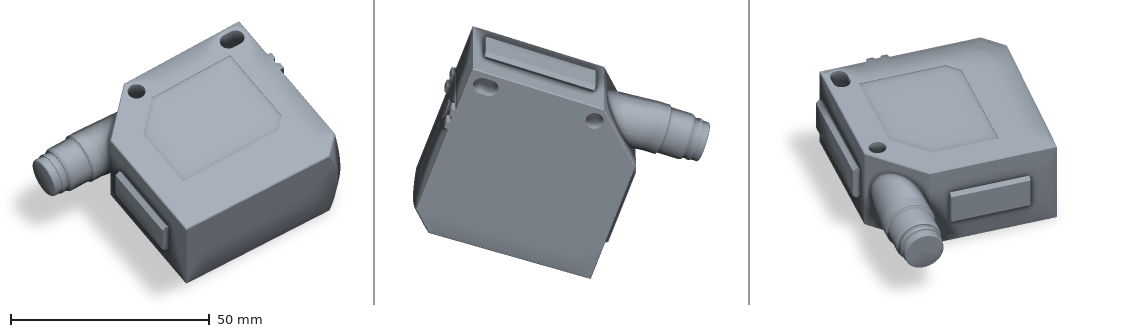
import cadquery as cq
import math

HEIGHT = 23.0
HALF_HEIGHT = HEIGHT / 2
DEPTH = 48.0
FRONT_WIDTH = 46.9
BACK_WIDTH = 48.2
CONNECTOR_CORNER = 12.9
EDGE_CHAMFER = 0.25

CORNER_RIM_SUM = 90.8
CORNER_CREST_SUM = 93.35

HOLE_DIAMETER = 4.5
HOLE_X = 3.9
ROUND_HOLE_Y = 14.1
SLOT_Y = 43.2
SLOT_LENGTH = 6.6

LABEL_LEFT = 7.75
LABEL_RIGHT = 33.95
LABEL_FRONT = 7.85
LABEL_BACK = 40.0
LABEL_FRONT_CORNER = 8.4
LABEL_BACK_CORNER = 3.2
LABEL_DEPTH = 0.2

RAIL_HEIGHT = 1.95
RAIL_RIDGE_HEIGHT = 0.95
RAIL_HALF_WIDTH = 3.95
RAIL_RIDGE_HALF_WIDTH = 4.8
LEFT_RAIL_START = 15.9
LEFT_RAIL_LENGTH = 29.2
FRONT_RAIL_START = 18.1
FRONT_RAIL_LENGTH = 21.1

PANEL_LEFT = 12.7
PANEL_RIGHT = 18.5
PANEL_THICKNESS = 0.2
BUTTON_TOP = 1.13
BUTTON_WIDTH = 2.4
BUTTON_OUTER_TAPER = 0.15
BUTTON_INNER_TAPER = 0.6
BUTTON_Z_LOW = 7.5
BUTTON_Z_HIGH = 11.5
BUTTON_Z_TAPER = 0.2
KNOB_RADIUS = 2.6
KNOB_X = 18.9
KNOB_HEIGHT = 0.7

OVERALL_LENGTH = 64.95
CONNECTOR_X = 6.26
CONNECTOR_END = -(OVERALL_LENGTH - DEPTH - BUTTON_TOP)
CONE_BASE_X = 6.85
CONE_BASE_RADIUS = 8.0
COLLAR_RADIUS = 6.5
COLLAR_START = -1.8
COLLAR_END = -4.85
COLLAR_CHAMFER = 0.35
SLEEVE_RADIUS = 6.0
SLEEVE_END = -11.0
SLEEVE_TIP_RADIUS = 5.65
SLEEVE_TIP_END = -11.65
NECK_RADIUS = 5.3
RING_RADIUS = 5.45
RING_START = -12.8
RING_END = -13.6
TIP_RADIUS = 5.15
TIP_CHAMFER = 0.25


def corner_barrel():
    """Horizontal cylinder along the cut corner; the housing is kept inside it."""
    rise = (CORNER_CREST_SUM - CORNER_RIM_SUM) / math.sqrt(2)
    radius = (HALF_HEIGHT**2 + rise**2) / (2 * rise)
    axis_distance = CORNER_CREST_SUM / math.sqrt(2) - radius
    axis_xy = axis_distance / math.sqrt(2)
    reach = 2 * DEPTH
    plane = cq.Plane(origin=(axis_xy, axis_xy, 0), xDir=(0, 0, 1), normal=(1, -1, 0))
    return cq.Workplane(plane).circle(radius).extrude(reach, both=True)


def housing():
    outline = [
        (CONNECTOR_CORNER, 0),
        (FRONT_WIDTH, 0),
        (BACK_WIDTH, DEPTH),
        (0, DEPTH),
        (0, CONNECTOR_CORNER),
    ]
    block = cq.Workplane("XY").polyline(outline).close().extrude(HALF_HEIGHT, both=True)
    block = block.intersect(corner_barrel())
    return block.faces("|Z").edges().chamfer(EDGE_CHAMFER)


def mounting_holes():
    round_hole = cq.Workplane("XY").center(HOLE_X, ROUND_HOLE_Y).circle(HOLE_DIAMETER / 2)
    slot = cq.Workplane("XY").center(HOLE_X, SLOT_Y).slot2D(SLOT_LENGTH, HOLE_DIAMETER, 90)
    return round_hole.extrude(HEIGHT, both=True).union(slot.extrude(HEIGHT, both=True))


def label_recess():
    outline = [
        (LABEL_LEFT + LABEL_FRONT_CORNER, LABEL_FRONT),
        (LABEL_RIGHT, LABEL_FRONT),
        (LABEL_RIGHT, LABEL_BACK - LABEL_BACK_CORNER),
        (LABEL_RIGHT - LABEL_BACK_CORNER, LABEL_BACK),
        (LABEL_LEFT, LABEL_BACK),
        (LABEL_LEFT, LABEL_FRONT + LABEL_FRONT_CORNER),
    ]
    floor = cq.Workplane("XY").workplane(offset=HALF_HEIGHT - LABEL_DEPTH)
    return floor.polyline(outline).close().extrude(HEIGHT)


def rail(origin, run_direction, outward, length):
    """Rail with a widest ridge part-way up its sides, standing out from a side face."""
    profile = [
        (0, -RAIL_HALF_WIDTH),
        (RAIL_RIDGE_HEIGHT, -RAIL_RIDGE_HALF_WIDTH),
        (RAIL_HEIGHT, -RAIL_HALF_WIDTH),
        (RAIL_HEIGHT, RAIL_HALF_WIDTH),
        (RAIL_RIDGE_HEIGHT, RAIL_RIDGE_HALF_WIDTH),
        (0, RAIL_HALF_WIDTH),
    ]
    plane = cq.Plane(origin=origin, xDir=outward, normal=run_direction)
    return cq.Workplane(plane).polyline(profile).close().extrude(length)


def button(left, left_taper, right_taper):
    """Tapered button on the upper half of the back face."""
    right = left + BUTTON_WIDTH
    top_left = left + left_taper
    top_right = right - right_taper
    mid_z = (BUTTON_Z_LOW + BUTTON_Z_HIGH) / 2
    base_height = BUTTON_Z_HIGH - BUTTON_Z_LOW
    back_face = cq.Plane(origin=(0, DEPTH, mid_z), xDir=(-1, 0, 0), normal=(0, 1, 0))
    return (
        cq.Workplane(back_face)
        .center(-(left + right) / 2, 0)
        .rect(BUTTON_WIDTH, base_height)
        .workplane(offset=BUTTON_TOP)
        .center((left + right - top_left - top_right) / 2, 0)
        .rect(top_right - top_left, base_height - 2 * BUTTON_Z_TAPER)
        .loft(ruled=True)
    )


def control_panel():
    panel_size = (PANEL_RIGHT - PANEL_LEFT, PANEL_THICKNESS + EDGE_CHAMFER, HEIGHT)
    panel = cq.Workplane("XY").box(*panel_size, centered=(False, False, True))
    panel = panel.translate((PANEL_LEFT, DEPTH - EDGE_CHAMFER, 0))
    buttons = button(PANEL_LEFT, BUTTON_OUTER_TAPER, BUTTON_INNER_TAPER).union(
        button(PANEL_RIGHT - BUTTON_WIDTH, BUTTON_INNER_TAPER, BUTTON_OUTER_TAPER)
    )
    back_face = cq.Plane(origin=(KNOB_X, DEPTH, 0), xDir=(-1, 0, 0), normal=(0, 1, 0))
    knob = cq.Workplane(back_face).circle(KNOB_RADIUS).extrude(KNOB_HEIGHT)
    return panel.union(buttons).union(buttons.mirror("XY")).union(knob)


def connector_cone():
    """Ruled transition from a circle on the slanted corner face to the collar."""
    base_center = cq.Vector(CONE_BASE_X, CONNECTOR_CORNER - CONE_BASE_X, 0)
    collar_center = cq.Vector(CONNECTOR_X, COLLAR_START, 0)
    base = cq.Wire.makeCircle(CONE_BASE_RADIUS, base_center, cq.Vector(-1, -1, 0))
    collar = cq.Wire.makeCircle(COLLAR_RADIUS, collar_center, cq.Vector(0, -1, 0))
    return cq.Workplane(cq.Solid.makeLoft([base, collar], True))


def connector_plug():
    """Turned collar, sleeve, neck, ring and tip around the connector axis."""
    profile = [
        (0, COLLAR_START),
        (COLLAR_RADIUS, COLLAR_START),
        (COLLAR_RADIUS, COLLAR_END),
        (SLEEVE_RADIUS + COLLAR_CHAMFER, COLLAR_END),
        (SLEEVE_RADIUS, COLLAR_END - COLLAR_CHAMFER),
        (SLEEVE_RADIUS, SLEEVE_END),
        (SLEEVE_TIP_RADIUS, SLEEVE_TIP_END),
        (NECK_RADIUS, SLEEVE_TIP_END),
        (NECK_RADIUS, RING_START),
        (RING_RADIUS, RING_START),
        (RING_RADIUS, RING_END),
        (TIP_RADIUS, RING_END),
        (TIP_RADIUS, CONNECTOR_END + TIP_CHAMFER),
        (TIP_RADIUS - TIP_CHAMFER, CONNECTOR_END),
        (0, CONNECTOR_END),
    ]
    plug = cq.Workplane("XY").polyline(profile).close().revolve(360, (0, 0, 0), (0, 1, 0))
    return plug.translate((CONNECTOR_X, 0, 0))


left_rail = rail((0, LEFT_RAIL_START, 0), (0, 1, 0), (-1, 0, 0), LEFT_RAIL_LENGTH)
front_rail = rail((FRONT_RAIL_START, 0, 0), (1, 0, 0), (0, -1, 0), FRONT_RAIL_LENGTH)

result = (
    housing()
    .cut(mounting_holes())
    .cut(label_recess())
    .union(left_rail)
    .union(front_rail)
    .union(control_panel())
    .union(connector_cone())
    .union(connector_plug())
)